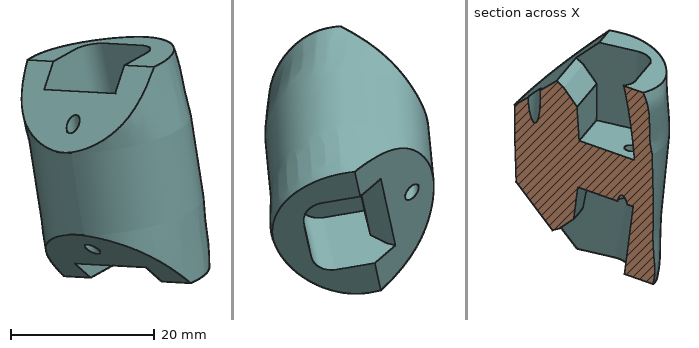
import cadquery as cq
import math

SPIN_ABOUT_Z = 12.9
TILT_ABOUT_Y = -11.4
TILT_ABOUT_X = 1.0

HALF_LENGTH = 15.9
BAND_HALF_LENGTH = 6.0
BAND_RADIUS = 11.43
BAND_CENTRE_Y = -0.1
FLAT_STRIP_WIDTH = 2.4
SECTION_POINTS = 32

UPPER_SECTIONS = [
    (10.97, -0.18, 11.15, 11.07, 1.85, 0.008479),
    (14.85, -0.35, 10.97, 10.65, 1.8, 0.01413),
    (HALF_LENGTH, -0.4, 10.95, 10.33, 1.85, 0.01131),
]
LOWER_SECTIONS = [
    (10.97, 0.15, 11.1, 11.57, 1.95, -0.005653),
    (14.85, 0.18, 10.97, 11.65, 1.9, -0.008479),
    (HALF_LENGTH, 0.18, 10.95, 11.45, 1.9, -0.01131),
]
FRONT_DEPTH = 11.4
FRONT_SQUARENESS = 2.25

BEVEL_FOLD_Y = -1.7

POCKET_WIDTH = 12.17
POCKET_BACK_Y = 6.8
POCKET_CORNER_RADIUS = 3.0
POCKET_FRONT_Y = -4.8
LIP_RUN = 1.13
LIP_DROP = 0.75
RAMP_RUN = 2.23
RAMP_DROP = 2.48
WALL_LEAN = 0.09
FLOOR_HEIGHT = 4.0
UPPER_POCKET_X = -0.7
LOWER_POCKET_X = -0.07

HOLE_DIAMETER = 2.0
FRONT_HOLE = (0.0, -8.4)
FLOOR_HOLE_Y = 6.35
FLOOR_HOLE_MARGIN = 0.35

CLEARANCE = 3.55


def signed_power(base, exponent):
    return math.copysign(abs(base) ** exponent, base)


def section_wire(z, centre_x, half_width, back_depth, back_squareness, back_bend):
    """Closed outline of one section: a superellipse half at the back and another at the front."""
    points = []
    for i in range(SECTION_POINTS):
        angle = 2 * math.pi * i / SECTION_POINTS
        at_back = math.sin(angle) > 0
        depth = back_depth if at_back else FRONT_DEPTH
        exponent = 2 / (back_squareness if at_back else FRONT_SQUARENESS)
        y = depth * signed_power(math.sin(angle), exponent)
        bend = back_bend * y**2 if at_back else 0
        x = centre_x + half_width * signed_power(math.cos(angle), exponent) + bend
        points.append(cq.Vector(x, y, z))
    return cq.Wire.assembleEdges([cq.Edge.makeSpline(points, periodic=True)])


def body_end(sections, side):
    """Loft from the middle band to one end; side is +1 for the top and -1 for the bottom."""
    band_edge = cq.Wire.makeCircle(
        BAND_RADIUS, cq.Vector(0, BAND_CENTRE_Y, side * BAND_HALF_LENGTH), cq.Vector(0, 0, 1)
    )
    wires = [band_edge] + [section_wire(side * section[0], *section[1:]) for section in sections]
    return cq.Workplane(cq.Solid.makeLoft(wires))


def middle_band():
    """Cylinder with a narrow flat strip along its front."""
    band = (
        cq.Workplane("XY", origin=(0, BAND_CENTRE_Y, -BAND_HALF_LENGTH))
        .circle(BAND_RADIUS)
        .extrude(2 * BAND_HALF_LENGTH)
    )
    strip_y = BAND_CENTRE_Y - math.sqrt(BAND_RADIUS**2 - (FLAT_STRIP_WIDTH / 2) ** 2)
    trim = (
        cq.Workplane("XY")
        .box(FLAT_STRIP_WIDTH, CLEARANCE, 2 * BAND_HALF_LENGTH, centered=(True, False, True))
        .translate((0, strip_y - CLEARANCE, 0))
    )
    return band.cut(trim)


def bevel(side):
    """Wedge that removes the front corner of one end at 45 degrees."""
    low_y = BEVEL_FOLD_Y - HALF_LENGTH
    return (
        cq.Workplane("YZ")
        .moveTo(BEVEL_FOLD_Y + CLEARANCE, side * (HALF_LENGTH + CLEARANCE))
        .lineTo(low_y, 0)
        .lineTo(low_y, side * (HALF_LENGTH + CLEARANCE))
        .close()
        .extrude(2 * HALF_LENGTH, both=True)
    )


def pocket(side, centre_x):
    """Pocket with leaning walls, rounded back corners and a two-step ramp down from the bevel."""
    top = HALF_LENGTH + CLEARANCE
    edge_z = HALF_LENGTH + POCKET_FRONT_Y - BEVEL_FOLD_Y
    lip_y = POCKET_FRONT_Y + LIP_RUN
    lip_z = edge_z - LIP_DROP
    ramp_y = lip_y + RAMP_RUN
    ramp_z = lip_z - RAMP_DROP
    profile = [
        (POCKET_BACK_Y - WALL_LEAN * CLEARANCE, top),
        (POCKET_BACK_Y + WALL_LEAN * (HALF_LENGTH - FLOOR_HEIGHT), FLOOR_HEIGHT),
        (ramp_y + WALL_LEAN * (ramp_z - FLOOR_HEIGHT), FLOOR_HEIGHT),
        (ramp_y, ramp_z),
        (lip_y, lip_z),
        (POCKET_FRONT_Y, edge_z),
        (POCKET_FRONT_Y, top),
    ]
    return (
        cq.Workplane("YZ", origin=(centre_x, 0, 0))
        .polyline([(y, side * z) for y, z in profile])
        .close()
        .extrude(POCKET_WIDTH / 2, both=True)
        .faces(cq.selectors.NearestToPointSelector((centre_x, POCKET_BACK_Y, side * HALF_LENGTH)))
        .edges("not |X")
        .fillet(POCKET_CORNER_RADIUS)
    )


def front_hole():
    """Straight hole from bevel to bevel."""
    return (
        cq.Workplane("XY", origin=(*FRONT_HOLE, -HALF_LENGTH))
        .circle(HOLE_DIAMETER / 2)
        .extrude(2 * HALF_LENGTH)
    )


def floor_hole():
    """Slightly slanted hole that joins the floors of the two offset pockets."""
    start = cq.Vector(UPPER_POCKET_X, FLOOR_HOLE_Y, FLOOR_HEIGHT)
    run = cq.Vector(LOWER_POCKET_X, FLOOR_HOLE_Y, -FLOOR_HEIGHT) - start
    margin = run.normalized() * FLOOR_HOLE_MARGIN
    length = run.Length + 2 * FLOOR_HOLE_MARGIN
    return cq.Workplane(cq.Solid.makeCylinder(HOLE_DIAMETER / 2, length, start - margin, run))


body = middle_band().union(body_end(UPPER_SECTIONS, 1)).union(body_end(LOWER_SECTIONS, -1))
body = body.cut(front_hole()).cut(floor_hole())
for end_side, pocket_x in ((1, UPPER_POCKET_X), (-1, LOWER_POCKET_X)):
    body = body.cut(bevel(end_side)).cut(pocket(end_side, pocket_x))

result = (
    body.rotate((0, 0, 0), (0, 0, 1), SPIN_ABOUT_Z)
    .rotate((0, 0, 0), (0, 1, 0), TILT_ABOUT_Y)
    .rotate((0, 0, 0), (1, 0, 0), TILT_ABOUT_X)
)